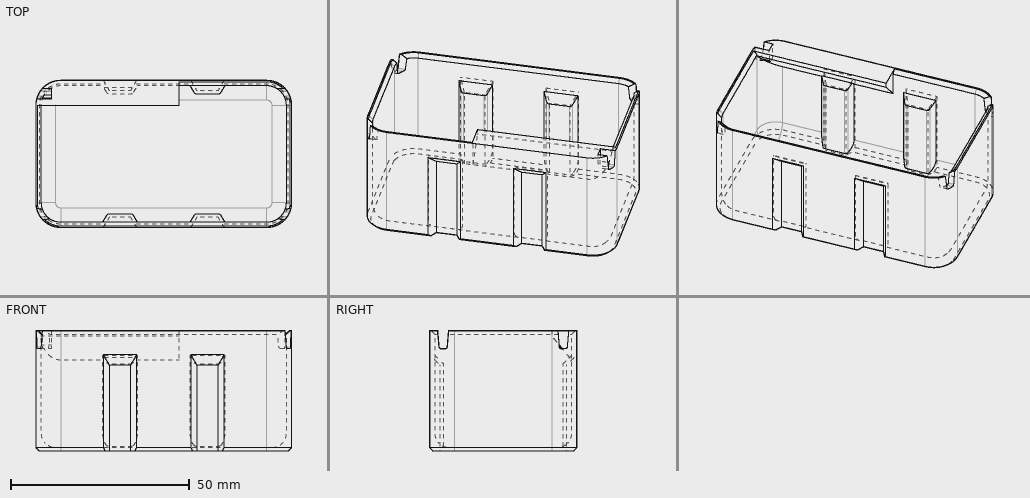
import cadquery as cq
import math

LENGTH = 71.5
WIDTH = 41.2
HEIGHT = 33.7
CORNER_RADIUS = 7.0
WALL = 1.5
FLOOR = 1.0
FLOOR_FILLET = 4.0
BOTTOM_CHAMFER = 1.0
RIM_CHAMFER = 1.1
RIM_EDGE = WALL - RIM_CHAMFER

FLUTE_OFFSET = 12.2
FLUTE_WIDTH = 9.3
FLUTE_DEPTH = 2.9
FLUTE_TOP = 26.95
FLUTE_FLANK_ANGLE = 30.0
RIB_SHELL = 0.9

SHELF_END_X = 4.3
SHELF_REACH = CORNER_RADIUS
SHELF_TIP_HEIGHT = 1.5
SHELF_ROOT_HEIGHT = 10.0

NOTCH_INSET = 3.8
NOTCH_TOP_WIDTH = 3.0
NOTCH_BOTTOM_WIDTH = 2.15
NOTCH_DEPTH = 5.0
NOTCH_LENGTH = 4.4
NOTCH_FILLET = 0.5

FRONT_Y = -WIDTH / 2
BACK_Y = WIDTH / 2
MARGIN = 0.7


def rounded_block(inset, bottom, top):
    """Upright block with rounded corners, inset from the outer walls."""
    block = cq.Workplane("XY").workplane(offset=bottom)
    block = block.rect(LENGTH - 2 * inset, WIDTH - 2 * inset).extrude(top - bottom)
    return block.edges("|Z").fillet(CORNER_RADIUS - inset)


def make_cavity():
    """Inside space, with a filleted floor and a flared rim."""
    cavity = rounded_block(WALL, FLOOR, HEIGHT).faces("<Z").edges().fillet(FLOOR_FILLET)
    flare_outline = (
        cq.Sketch()
        .rect(LENGTH - 2 * RIM_EDGE, WIDTH - 2 * RIM_EDGE)
        .vertices()
        .fillet(CORNER_RADIUS - RIM_EDGE)
    )
    flare = cq.Workplane("XY", origin=(0, 0, HEIGHT)).placeSketch(flare_outline)
    flare = flare.extrude(-RIM_CHAMFER, taper=45)
    return cavity.union(flare)


def make_flute(x, bottom, growth):
    """Tapered flute in the front wall, enlarged on its flanks, top and floor by growth."""
    flank_slope = math.tan(math.radians(FLUTE_FLANK_ANGLE))
    depth = FLUTE_DEPTH + growth
    half_outer = FLUTE_WIDTH / 2 + growth / math.cos(math.radians(FLUTE_FLANK_ANGLE))
    half_inner = half_outer - depth * flank_slope
    top = FLUTE_TOP + growth * math.sqrt(2)
    plan = [
        (x - half_outer, FRONT_Y),
        (x + half_outer, FRONT_Y),
        (x + half_inner, FRONT_Y + depth),
        (x - half_inner, FRONT_Y + depth),
    ]
    flute = cq.Workplane("XY").workplane(offset=bottom).polyline(plan).close().extrude(top - bottom)
    if growth > 0:
        flute = flute.edges("|Z and >Y").fillet(growth)
    slope = (
        cq.Workplane("YZ", origin=(x - LENGTH / 2, 0, 0))
        .polyline([(FRONT_Y, top), (FRONT_Y + 2 * depth, top), (FRONT_Y + 2 * depth, top - 2 * depth)])
        .close()
        .extrude(LENGTH)
    )
    return flute.cut(slope)


def make_flutes(bottom, growth):
    """Two flutes in each long wall."""
    pair = make_flute(-FLUTE_OFFSET, bottom, growth).union(make_flute(FLUTE_OFFSET, bottom, growth))
    return pair.union(pair.mirror("XZ"))


def make_shelf():
    """Wedge under the rim from the left end wall to past the middle."""
    profile = [
        (BACK_Y, HEIGHT),
        (BACK_Y - SHELF_REACH, HEIGHT),
        (BACK_Y - SHELF_REACH, HEIGHT - SHELF_TIP_HEIGHT),
        (BACK_Y, HEIGHT - SHELF_ROOT_HEIGHT),
    ]
    wedge = cq.Workplane("YZ", origin=(-LENGTH / 2, 0, 0)).polyline(profile).close()
    return wedge.extrude(LENGTH / 2 + SHELF_END_X)


def make_notch(start_x, y):
    """Tapered slot cutter running along X, with rounded bottom corners."""
    profile = [
        (y - NOTCH_TOP_WIDTH / 2, HEIGHT),
        (y + NOTCH_TOP_WIDTH / 2, HEIGHT),
        (y + NOTCH_BOTTOM_WIDTH / 2, HEIGHT - NOTCH_DEPTH),
        (y - NOTCH_BOTTOM_WIDTH / 2, HEIGHT - NOTCH_DEPTH),
    ]
    notch = cq.Workplane("YZ", origin=(start_x, 0, 0)).polyline(profile).close().extrude(NOTCH_LENGTH)
    return notch.faces("<Z").edges("|X").fillet(NOTCH_FILLET)


envelope = rounded_block(0, 0, HEIGHT).faces("<Z").edges().chamfer(BOTTOM_CHAMFER)

result = envelope.cut(make_cavity())

result = result.union(make_flutes(FLOOR, RIB_SHELL).intersect(envelope))
result = result.union(make_shelf().intersect(envelope))
result = result.cut(make_flutes(-MARGIN, 0))

for start_x in (-LENGTH / 2, LENGTH / 2 - NOTCH_LENGTH):
    for y in (FRONT_Y + NOTCH_INSET, BACK_Y - NOTCH_INSET):
        result = result.cut(make_notch(start_x, y))